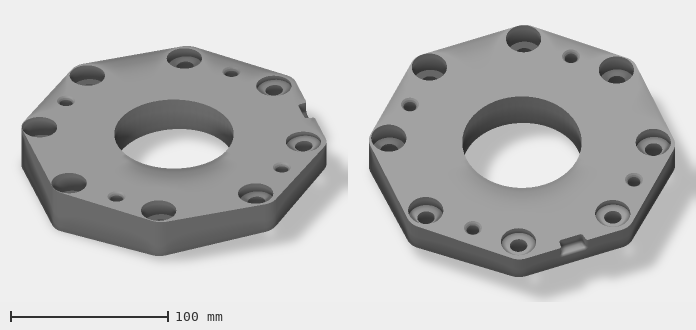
import cadquery as cq
import math

SIDE_COUNT = 8
ACROSS_FLATS = 181.76
MAX_THICKNESS = 30.18
TILT_DEG = 4.0
CORNER_RADIUS = 12.0
BORE_DIAMETER = 76.0

HALF_WIDTH = ACROSS_FLATS / 2
MID_THICKNESS = MAX_THICKNESS - HALF_WIDTH * math.tan(math.radians(TILT_DEG))
MIN_THICKNESS = 2 * MID_THICKNESS - MAX_THICKNESS

SCREW_CIRCLE_RADIUS = 84.1
SCREW_COUNT = SIDE_COUNT
SCREW_HOLE_DIAMETER = 11.1
COUNTERBORE_DIAMETER = 22.4
SCREW_SEAT_THICKNESS = 15.0

BLIND_HOLE_OFFSET = 55.0
BLIND_HOLE_DEPTH = 12.0
BLIND_HOLE_RADIUS = 4.0
SINK_MID_RADIUS = 4.7
SINK_MOUTH_RADIUS = 5.7
SINK_MID_DEPTH = 0.95
SINK_DEPTH = 2.1

NOTCH_MOUTH_WIDTH = 17.3
NOTCH_BACK_WIDTH = 15.6
NOTCH_REACH = 6.2
NOTCH_DEPTH = 8.0
NOTCH_FLOOR_TILT_DEG = 5.0
NOTCH_CORNER_RADIUS = 1.7
NOTCH_FLOOR_RADIUS = 1.6
NOTCH_MOUTH_RADIUS = 1.5

OVERRUN = 10.0
SELECTION_MARGIN = 0.1


def make_plate():
    """Octagonal plate, wedge-shaped along Y, with rounded corners and a central bore."""
    corner_circle_diameter = ACROSS_FLATS / math.cos(math.pi / SIDE_COUNT)
    octagon = (
        cq.Workplane("XY")
        .polygon(SIDE_COUNT, corner_circle_diameter)
        .extrude(-MAX_THICKNESS)
        .rotate((0, 0, 0), (0, 0, 1), 180 / SIDE_COUNT)
        .edges("|Z")
        .fillet(CORNER_RADIUS)
    )
    wedge = (
        cq.Workplane("YZ")
        .polyline([
            (-HALF_WIDTH, 0),
            (HALF_WIDTH, 0),
            (HALF_WIDTH, -MIN_THICKNESS),
            (-HALF_WIDTH, -MAX_THICKNESS),
        ])
        .close()
        .extrude(HALF_WIDTH, both=True)
    )
    bore = cq.Workplane("XY").circle(BORE_DIAMETER / 2).extrude(-MAX_THICKNESS)
    return octagon.intersect(wedge).cut(bore)


def make_screw_holes():
    """Ring of counterbored through holes, tilted with the underside."""
    underside = (
        cq.Workplane("XY")
        .workplane(offset=-MID_THICKNESS)
        .transformed(rotate=(TILT_DEG, 0, 0))
    )
    first_angle = 180 / SCREW_COUNT
    places = underside.polarArray(SCREW_CIRCLE_RADIUS, first_angle, 360, SCREW_COUNT)
    holes = (
        places.circle(SCREW_HOLE_DIAMETER / 2)
        .extrude(MAX_THICKNESS + OVERRUN, both=True)
    )
    counterbores = (
        underside.workplane(offset=SCREW_SEAT_THICKNESS)
        .polarArray(SCREW_CIRCLE_RADIUS, first_angle, 360, SCREW_COUNT)
        .circle(COUNTERBORE_DIAMETER / 2)
        .extrude(MAX_THICKNESS)
    )
    return holes.union(counterbores)


def make_blind_hole(x, y):
    """Flat-bottomed hole whose mouth opens in two cones."""
    return (
        cq.Workplane("XZ")
        .polyline([
            (0, 0),
            (SINK_MOUTH_RADIUS, 0),
            (SINK_MID_RADIUS, -SINK_MID_DEPTH),
            (BLIND_HOLE_RADIUS, -SINK_DEPTH),
            (BLIND_HOLE_RADIUS, -BLIND_HOLE_DEPTH),
            (0, -BLIND_HOLE_DEPTH),
        ])
        .close()
        .revolve(360, (0, 0), (0, 1))
        .translate((x, y, 0))
    )


def make_notch():
    """Tapered pocket open to the top and the +Y edge, with a rounded, sloping floor."""
    flare = (NOTCH_MOUTH_WIDTH - NOTCH_BACK_WIDTH) / 2 / NOTCH_REACH
    outer_half_width = NOTCH_MOUTH_WIDTH / 2 + flare * OVERRUN
    outer_y = HALF_WIDTH + OVERRUN
    back_y = HALF_WIDTH - NOTCH_REACH
    walls = (
        cq.Workplane("XY")
        .workplane(offset=-MAX_THICKNESS)
        .polyline([
            (-NOTCH_BACK_WIDTH / 2, back_y),
            (NOTCH_BACK_WIDTH / 2, back_y),
            (outer_half_width, outer_y),
            (-outer_half_width, outer_y),
        ])
        .close()
        .extrude(MAX_THICKNESS + OVERRUN)
        .edges("|Z and <Y")
        .fillet(NOTCH_CORNER_RADIUS)
    )
    above_floor = (
        cq.Workplane("XY", origin=(0, HALF_WIDTH, -NOTCH_DEPTH))
        .transformed(rotate=(-NOTCH_FLOOR_TILT_DEG, 0, 0))
        .rect(ACROSS_FLATS, ACROSS_FLATS)
        .extrude(MAX_THICKNESS)
    )
    pocket = walls.intersect(above_floor)
    floor_edges = pocket.faces("<Z").edges("not(>Y)")
    return floor_edges.fillet(NOTCH_FLOOR_RADIUS)


def round_notch_mouth(body):
    """Round the rim where the notch meets the +Y edge face."""
    rim_half_width = NOTCH_MOUTH_WIDTH / 2 + SELECTION_MARGIN
    rim_box = cq.selectors.BoxSelector(
        (-rim_half_width, HALF_WIDTH - SELECTION_MARGIN, -NOTCH_DEPTH - SELECTION_MARGIN),
        (rim_half_width, HALF_WIDTH + SELECTION_MARGIN, -SELECTION_MARGIN),
    )
    return body.edges(rim_box).fillet(NOTCH_MOUTH_RADIUS)


result = make_plate().cut(make_screw_holes())
for x_side in (-1, 1):
    for y_side in (-1, 1):
        blind_hole = make_blind_hole(x_side * BLIND_HOLE_OFFSET, y_side * BLIND_HOLE_OFFSET)
        result = result.cut(blind_hole)
result = round_notch_mouth(result.cut(make_notch()))